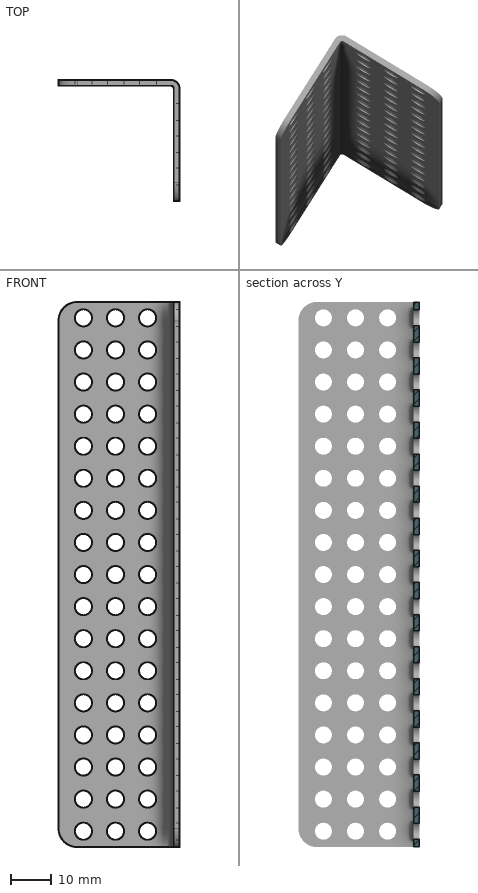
import cadquery as cq

length = 136.0
thickness = 1.5
inner_bend_radius = 0.7
corner_radius = 4.8

hole_diameter = 4.2
hole_rows = 17
hole_columns = 3
free_edge_margin = 6.3

hole_pitch = length / hole_rows
first_column = hole_pitch
flange_width = first_column + (hole_columns - 1) * hole_pitch + free_edge_margin
outer_bend_radius = inner_bend_radius + thickness
half_width = flange_width / 2
hole_depth = 2 * thickness


def make_angle():
    """L-shaped sheet with its bend at the +X, +Y edge and a free end at -X and -Y."""
    profile = (
        cq.Workplane("XY")
        .moveTo(-half_width, half_width)
        .lineTo(half_width, half_width)
        .lineTo(half_width, -half_width)
        .lineTo(half_width - thickness, -half_width)
        .lineTo(half_width - thickness, half_width - thickness)
        .lineTo(-half_width, half_width - thickness)
        .close()
    )
    angle = profile.extrude(length / 2, both=True)
    angle = angle.edges("|Z").edges(">(1,1,0)").fillet(outer_bend_radius)
    inner_corner = cq.selectors.NearestToPointSelector(
        (half_width - thickness, half_width - thickness, 0)
    )
    return angle.edges("|Z").edges(inner_corner).fillet(inner_bend_radius)


def round_free_corners(angle):
    """Round the top and bottom corners at the free end of both flanges."""
    angle = angle.faces("<X").edges("|Y").fillet(corner_radius)
    return angle.faces("<Y").edges("|X").fillet(corner_radius)


def hole_positions():
    """Grid of hole centres as (across the flange, along Z)."""
    positions = []
    for column in range(hole_columns):
        across = half_width - first_column - column * hole_pitch
        for row in range(hole_rows):
            along = (row - (hole_rows - 1) / 2) * hole_pitch
            positions.append((across, along))
    return positions


def make_hole_cutters(plane_name, inner_face_offset):
    """Cylinders through one flange, centred on its inner face."""
    return (
        cq.Workplane(plane_name)
        .workplane(offset=inner_face_offset)
        .pushPoints(hole_positions())
        .circle(hole_diameter / 2)
        .extrude(hole_depth, both=True)
    )


inner_face = half_width - thickness
back_flange_holes = make_hole_cutters("XZ", -inner_face)
side_flange_holes = make_hole_cutters("YZ", inner_face)

result = round_free_corners(make_angle()).cut(back_flange_holes).cut(side_flange_holes)